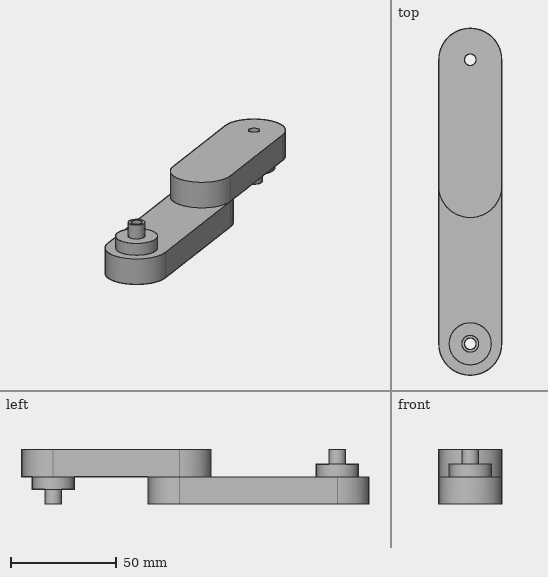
import cadquery as cq

link_width = 30.0
link_thickness = 13.0
lower_pitch = 75.0
upper_pitch = 60.0
boss_diameter = 20.0
boss_height = 6.0
pin_diameter = 8.0
pin_height = link_thickness - boss_height
bore_diameter = 5.4

lower_end_y = -lower_pitch
upper_end_y = upper_pitch


def link(end_y, base_z):
    """Round-ended bar from the joint axis to end_y, standing on base_z."""
    return (
        cq.Workplane("XY", origin=(0, end_y / 2, base_z))
        .slot2D(abs(end_y) + link_width, link_width, 90)
        .extrude(link_thickness)
    )


def stepped_pivot(end_y, direction):
    """Boss and pin growing from the mid plane, up (+1) or down (-1)."""
    boss = (
        cq.Workplane("XY", origin=(0, end_y, 0))
        .circle(boss_diameter / 2)
        .extrude(direction * boss_height)
    )
    pin = (
        cq.Workplane("XY", origin=(0, end_y, direction * boss_height))
        .circle(pin_diameter / 2)
        .extrude(direction * pin_height)
    )
    return boss.union(pin)


def bore(end_y):
    """Hole through a link end and its pivot, over the full height."""
    return (
        cq.Workplane("XY", origin=(0, end_y, -link_thickness))
        .circle(bore_diameter / 2)
        .extrude(2 * link_thickness)
    )


lower_arm = link(lower_end_y, -link_thickness).union(stepped_pivot(lower_end_y, 1))
upper_arm = link(upper_end_y, 0).union(stepped_pivot(upper_end_y, -1))

result = lower_arm.union(upper_arm)
for pivot_y in (lower_end_y, upper_end_y):
    result = result.cut(bore(pivot_y))